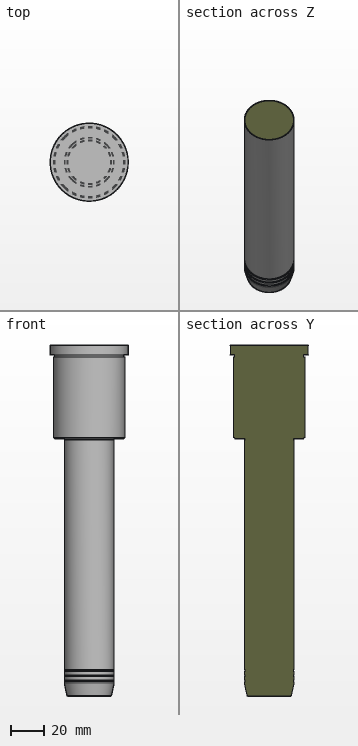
import cadquery as cq

total_length = 211.0
head_diameter = 47.0
body_diameter = 43.0
shaft_diameter = 30.0

head_height = 6.0
shoulder_depth = 56.3
nose_height = 7.5

relief_width = 1.3
relief_depth = 0.6
shaft_relief_width = 0.6
shaft_relief_depth = 0.2
body_chamfer = 0.8
head_chamfer = 0.2

tip_diameter = 26.5
nose_bulge = 0.05
tip_chamfer = 0.5

groove_count = 3
groove_pitch = 3.2
groove_width = 1.0
groove_depth = 0.5
lowest_groove_height = 9.3


def cylinder(diameter, bottom, top):
    """Solid cylinder on the Z axis between two heights."""
    return cq.Workplane("XY").workplane(offset=bottom).circle(diameter / 2).extrude(top - bottom)


def ring_groove(diameter, depth, bottom, width):
    """Ring that cuts a square groove into a cylinder of the given diameter."""
    outside = cylinder(diameter + 2 * depth, bottom, bottom + width)
    inside = cylinder(diameter - 2 * depth, bottom, bottom + width)
    return outside.cut(inside)


def vee_groove(diameter, depth, height, width):
    """Ring that cuts a V-shaped groove into a cylinder of the given diameter."""
    radius = diameter / 2
    profile = cq.Workplane("XZ").polyline(
        [
            (radius - depth, height),
            (radius, height + width / 2),
            (radius + depth, height),
            (radius, height - width / 2),
        ]
    )
    return profile.close().revolve(360, (0, 0, 0), (0, 1, 0))


def make_nose():
    """Tapered end of the shaft with a slightly convex side."""
    tip_radius = tip_diameter / 2
    shaft_radius = shaft_diameter / 2
    middle_radius = (tip_radius + shaft_radius) / 2 + nose_bulge
    profile = (
        cq.Workplane("XZ")
        .lineTo(tip_radius, 0)
        .threePointArc((middle_radius, nose_height / 2), (shaft_radius, nose_height))
        .lineTo(0, nose_height)
        .close()
    )
    return profile.revolve(360, (0, 0, 0), (0, 1, 0)).faces("<Z").edges().chamfer(tip_chamfer)


head_bottom = total_length - head_height
body_bottom = total_length - shoulder_depth
relief_bottom = head_bottom - relief_width

head = cylinder(head_diameter, head_bottom, total_length).faces(">Z").edges().chamfer(head_chamfer)
body = cylinder(body_diameter, body_bottom, relief_bottom).faces("<Z").edges().chamfer(body_chamfer)
relief_neck = cylinder(body_diameter - 2 * relief_depth, relief_bottom, head_bottom)
shaft = cylinder(shaft_diameter, nose_height, body_bottom)

result = make_nose().union(shaft).union(body).union(relief_neck).union(head)

shaft_relief_bottom = body_bottom - shaft_relief_width
result = result.cut(ring_groove(shaft_diameter, shaft_relief_depth, shaft_relief_bottom, shaft_relief_width))

for index in range(groove_count):
    groove_height = lowest_groove_height + index * groove_pitch
    result = result.cut(vee_groove(shaft_diameter, groove_depth, groove_height, groove_width))